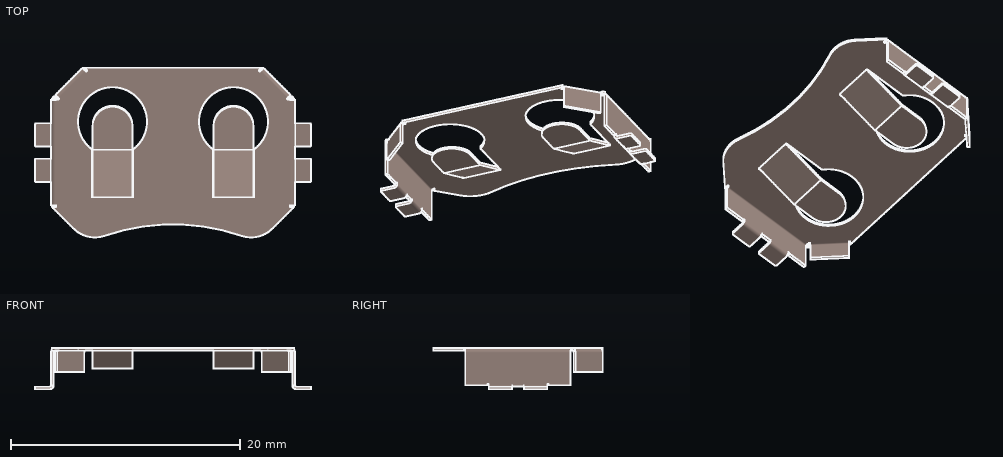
import cadquery as cq
import math


sheet = 0.25
inner_bend = 0.15
outer_bend = inner_bend + sheet
overall_length = 24.1
overall_height = 3.62
plate_underside = overall_height - sheet

wall_reach = 10.65
plate_back = 7.41
plate_front = -plate_back
corner_sum = 15.3
lobe_radius = 2.6
waist_y = -6.27

wall_length = 9.2
relief_width = 0.12
relief_overrun = 0.07

foot_inner_bend = 0.1
foot_outer_bend = foot_inner_bend + sheet
foot_width = 2.05
foot_spacing = 3.08
foot_corner = 0.12
foot_notch_width = 0.1
foot_notch_top = 0.45
foot_web_bottom = 0.25
wall_bottom = foot_outer_bend

flange_length = 3.37
flange_bottom = overall_height - 2.12
flange_reach = corner_sum / math.sqrt(2)
flange_end = (2 * plate_back - corner_sum) / math.sqrt(2)
flange_middle = flange_end - flange_length / 2

tongue_x = 5.28
window_y = 2.7
window_radius = 3.0
tongue_width = 3.5
slot_width = 3.62
tongue_root_y = -3.88
tongue_bend_y = 0.253
tongue_tip_y = 4.1
tongue_drop = 1.57


def box(x_range, y_range, z_range):
    """Axis-aligned block given by its two limits along each axis."""
    sizes = [high - low for low, high in (x_range, y_range, z_range)]
    corner = (x_range[0], y_range[0], z_range[0])
    return cq.Workplane("XY").box(*sizes, centered=False).translate(corner)


def both_sides(body):
    """The body together with its mirror image across X = 0."""
    return body.union(body.mirror("YZ"))


def plate_blank():
    """Octagonal plate whose front edge is two round lobes around a concave arc."""
    lobe_y = plate_front + lobe_radius
    lobe_x = corner_sum + lobe_y - lobe_radius * math.sqrt(2)
    rise = lobe_y - waist_y
    waist_radius = (lobe_x**2 + rise**2 - lobe_radius**2) / (2 * (lobe_radius - rise))
    share = lobe_radius / (waist_radius + lobe_radius)
    blend_x = lobe_x * (1 - share)
    blend_y = lobe_y + (waist_y - waist_radius - lobe_y) * share
    lobe_start_x = lobe_x + lobe_radius / math.sqrt(2)
    lobe_start_y = lobe_y - lobe_radius / math.sqrt(2)
    back_x = corner_sum - plate_back
    side_y = corner_sum - wall_reach
    return (
        cq.Workplane("XY", origin=(0, 0, plate_underside))
        .moveTo(-back_x, plate_back)
        .lineTo(back_x, plate_back)
        .lineTo(wall_reach, side_y)
        .lineTo(wall_reach, -side_y)
        .lineTo(lobe_start_x, lobe_start_y)
        .threePointArc((lobe_x, plate_front), (blend_x, blend_y))
        .threePointArc((0, waist_y), (-blend_x, blend_y))
        .threePointArc((-lobe_x, plate_front), (-lobe_start_x, lobe_start_y))
        .lineTo(-wall_reach, -side_y)
        .lineTo(-wall_reach, side_y)
        .close()
        .extrude(sheet)
    )


def bend_clearance(reach, length):
    """Plate material to remove for a flange facing +X, with a relief slot at each end."""
    bend_line = reach - outer_bend
    plate_z = (plate_underside, overall_height)
    half = length / 2
    strip = box((bend_line, reach), (-half, half), plate_z)
    for low in (-half - relief_width, half):
        slot_x = (bend_line - relief_overrun, reach)
        strip = strip.union(box(slot_x, (low, low + relief_width), plate_z))
    return strip


def bent_flange(reach, length, bottom):
    """Flange facing +X that turns down from the plate and ends at the given height."""
    bend_line = reach - outer_bend
    root_x = bend_line - relief_overrun
    bend_z = overall_height - outer_bend
    diagonal = math.sqrt(0.5)
    return (
        cq.Workplane("XZ", origin=(0, length / 2, 0))
        .moveTo(root_x, overall_height)
        .lineTo(bend_line, overall_height)
        .threePointArc(
            (bend_line + outer_bend * diagonal, bend_z + outer_bend * diagonal),
            (reach, bend_z),
        )
        .lineTo(reach, bottom)
        .lineTo(reach - sheet, bottom)
        .lineTo(reach - sheet, bend_z)
        .threePointArc(
            (bend_line + inner_bend * diagonal, bend_z + inner_bend * diagonal),
            (bend_line, plate_underside),
        )
        .lineTo(root_x, plate_underside)
        .close()
        .extrude(length)
    )


def solder_foot():
    """Foot that curves outward from the wall's lower edge and lies flat on Z = 0."""
    bend_x = wall_reach + foot_inner_bend
    bend_z = foot_outer_bend
    tip_x = overall_length / 2
    diagonal = math.sqrt(0.5)
    return (
        cq.Workplane("XZ", origin=(0, foot_width / 2, 0))
        .moveTo(wall_reach - sheet, foot_notch_top)
        .lineTo(wall_reach - sheet, bend_z)
        .threePointArc(
            (bend_x - foot_outer_bend * diagonal, bend_z - foot_outer_bend * diagonal),
            (bend_x, 0),
        )
        .lineTo(tip_x, 0)
        .lineTo(tip_x, sheet)
        .lineTo(bend_x, sheet)
        .threePointArc(
            (bend_x - foot_inner_bend * diagonal, bend_z - foot_inner_bend * diagonal),
            (wall_reach, bend_z),
        )
        .lineTo(wall_reach, foot_notch_top)
        .close()
        .extrude(foot_width)
        .edges("|Z and >X")
        .fillet(foot_corner)
    )


def side_wall():
    """Wall on the +X side with two solder feet, notched beside the feet."""
    wall = bent_flange(wall_reach, wall_length, wall_bottom)
    wall_x = (wall_reach - sheet, wall_reach)
    outer_y = (foot_spacing + foot_width) / 2
    inner_y = (foot_spacing - foot_width) / 2
    notch_y = outer_y + foot_notch_width
    wall = wall.cut(box(wall_x, (-notch_y, notch_y), (wall_bottom, foot_notch_top)))
    wall = wall.union(box(wall_x, (-inner_y, inner_y), (foot_web_bottom, foot_notch_top)))
    for foot_y in (-foot_spacing / 2, foot_spacing / 2):
        wall = wall.union(solder_foot().translate((0, foot_y, 0)))
    return wall


def turn_to_corner(body):
    """Move a body built facing +X onto the 45 degree back corner."""
    return body.translate((0, flange_middle, 0)).rotate((0, 0, 0), (0, 0, 1), 45)


def tongue_window():
    """Round window with a straight slot leading to the tongue's root."""
    plate_z = (plate_underside, overall_height)
    slot_x = (tongue_x - slot_width / 2, tongue_x + slot_width / 2)
    window = (
        cq.Workplane("XY", origin=(tongue_x, window_y, plate_underside))
        .circle(window_radius)
        .extrude(sheet)
    )
    return window.union(box(slot_x, (tongue_root_y, window_y), plate_z))


def spring_tongue():
    """Tongue that slopes down from the plate to a flat contact with a rounded tip."""
    slope = math.atan2(tongue_drop, tongue_bend_y - tongue_root_y)
    miter = sheet * math.tan(slope / 2)
    flat_top = overall_height - tongue_drop
    flat_bottom = flat_top - sheet
    tip_radius = tongue_width / 2
    tip_center_y = tongue_tip_y - tip_radius
    blank = (
        cq.Workplane("YZ", origin=(tongue_x - tongue_width / 2, 0, 0))
        .moveTo(tongue_root_y, overall_height)
        .lineTo(tongue_bend_y, flat_top)
        .lineTo(tongue_tip_y, flat_top)
        .lineTo(tongue_tip_y, flat_bottom)
        .lineTo(tongue_bend_y - miter, flat_bottom)
        .lineTo(tongue_root_y - miter, plate_underside)
        .lineTo(tongue_root_y, plate_underside)
        .close()
        .extrude(tongue_width)
    )
    tip_plane = cq.Plane(
        origin=(tongue_x, tip_center_y, flat_bottom),
        xDir=(1, 0, 0),
        normal=(0, -math.sin(slope), math.cos(slope)),
    )
    body_length = 2 * (tongue_tip_y - tongue_root_y)
    keep = (
        cq.Workplane(tip_plane)
        .ellipse(tip_radius, tip_radius * math.cos(slope))
        .extrude(body_length, both=True)
        .union(
            cq.Workplane(tip_plane)
            .center(0, -body_length / 2)
            .rect(tongue_width, body_length)
            .extrude(body_length, both=True)
        )
    )
    return blank.intersect(keep)


plate = plate_blank()
plate = plate.cut(both_sides(bend_clearance(wall_reach, wall_length)))
plate = plate.cut(both_sides(turn_to_corner(bend_clearance(flange_reach, flange_length))))
plate = plate.cut(both_sides(tongue_window()))

corner_flange = turn_to_corner(bent_flange(flange_reach, flange_length, flange_bottom))

result = plate
for feature in (side_wall(), corner_flange, spring_tongue()):
    result = result.union(both_sides(feature))
result = cq.Workplane("XY").newObject([result.solids().val()])